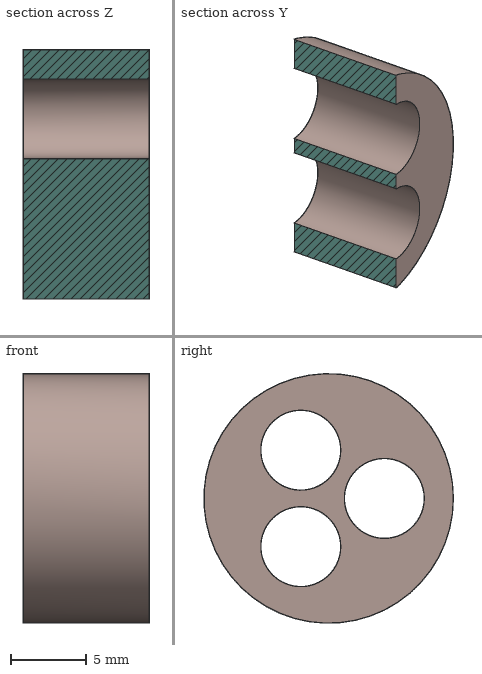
import cadquery as cq

disc_diameter = 16.6
disc_thickness = 8.4
hole_diameter = 5.3
hole_circle_radius = 3.7
hole_count = 3

disc = cq.Workplane("YZ").circle(disc_diameter / 2).extrude(disc_thickness)

holes = (
    cq.Workplane("YZ")
    .polarArray(hole_circle_radius, 0, 360, hole_count)
    .circle(hole_diameter / 2)
    .extrude(disc_thickness)
)

result = disc.cut(holes)